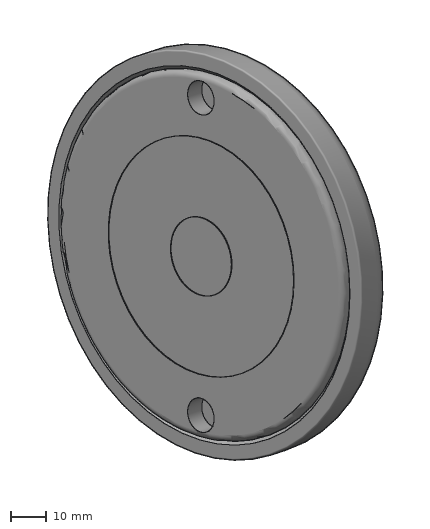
import cadquery as cq
import math


plate_radius = 54.0
plate_thickness = 6.0
plate_edge_fillet = 2.0
ring_recess_radius = 35.0
ring_recess_depth = 0.3
centre_pad_radius = 11.5
hole_radius = 5.0
hole_rim_land = 0.05
hole_offset = plate_radius - plate_edge_fillet - hole_rim_land - hole_radius

housing_radius = 59.5
housing_height = 19.5
rim_y = 1.5
rim_fillet = 0.5
recess_mouth_chamfer = 1.0
shoulder_radius = 5.0
dome_rise = 7.0
dome_sphere_radius = (housing_radius**2 + dome_rise**2) / (2 * dome_rise)
dome_centre_y = housing_height - dome_sphere_radius

shoulder_centre_radius = housing_radius - shoulder_radius
shoulder_angle = math.asin(shoulder_centre_radius / (dome_sphere_radius - shoulder_radius))
shoulder_start_y = dome_centre_y + (dome_sphere_radius - shoulder_radius) * math.cos(shoulder_angle)
dome_edge_radius = dome_sphere_radius * math.sin(shoulder_angle)
dome_edge_y = dome_centre_y + dome_sphere_radius * math.cos(shoulder_angle)


def disc(radius, start_y, end_y):
    """Solid disc on the Y axis from start_y up to end_y."""
    return cq.Workplane("XZ", origin=(0, start_y, 0)).circle(radius).extrude(start_y - end_y)


def make_housing():
    """Revolved dome with a blind recess that takes the base plate."""
    blank = (
        cq.Workplane("YZ")
        .moveTo(rim_y, 0)
        .lineTo(rim_y, housing_radius)
        .lineTo(shoulder_start_y, housing_radius)
        .radiusArc((dome_edge_y, dome_edge_radius), shoulder_radius)
        .radiusArc((housing_height, 0), dome_sphere_radius)
        .close()
        .revolve(360, (0, 0, 0), (1, 0, 0))
    )
    blank = blank.faces("<Y").edges().fillet(rim_fillet)
    recess = disc(plate_radius, rim_y, plate_thickness)
    housing = blank.cut(recess)
    return housing.faces("<Y").edges(cq.selectors.RadiusNthSelector(0)).chamfer(recess_mouth_chamfer)


def make_base_plate():
    """Disc with a rounded edge, a shallow ring recess around a centre pad and two through holes."""
    plate = disc(plate_radius, 0, plate_thickness)
    plate = plate.faces("<Y").edges().fillet(plate_edge_fillet)
    ring_recess = disc(ring_recess_radius, 0, ring_recess_depth)
    centre_pad = disc(centre_pad_radius, 0, ring_recess_depth)
    plate = plate.cut(ring_recess.cut(centre_pad))
    for side in (-1, 1):
        hole = disc(hole_radius, 0, plate_thickness).translate((0, 0, side * hole_offset))
        plate = plate.cut(hole)
    return plate


housing = make_housing()
base_plate = make_base_plate()

result = cq.Compound.makeCompound([housing.val(), base_plate.val()])